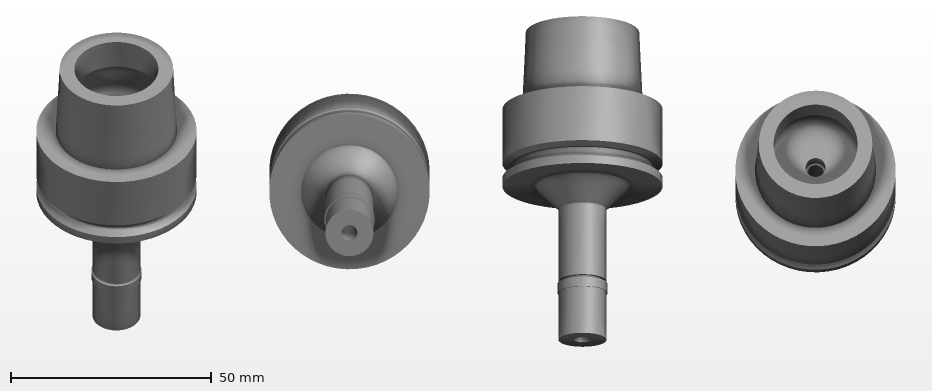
import cadquery as cq
import math

total_height = 80.0
taper_length = 20.0
flange_thickness = 20.0
flange_top = total_height - taper_length
flange_bottom = flange_top - flange_thickness

taper_top_radius = 14.2
taper_base_radius = 15.1

flange_radius = 20.0
groove_radius = 17.5
flange_rim_height = 2.1
groove_flank_inner_radius = 18.3
groove_flank_angle = 30.0
groove_floor_height = 1.9

nose_height = 6.0

bore_radius = 10.5
bore_mouth_depth = 8.0
chamber_radius = 12.7
chamber_floor_depth = 17.8
chamber_fillet = 2.0

stem_radius = 6.0
stem_bore_radius = 2.0
counterbore_radius = 2.5
counterbore_depth = 4.0
stem_groove_radius = 5.3
stem_groove_height = 3.1

ring_radius = 6.2
ring_height = 2.4
ring_bottom = 12.2

chamber_floor = total_height - chamber_floor_depth


def revolve_profile(points):
    """Turn a closed (radius, height) profile about the Z axis."""
    return cq.Workplane("XZ").polyline(points).close().revolve(360, (0, 0, 0), (0, 1, 0))


def disc(radius, bottom, top):
    """Solid cylinder on the Z axis between two heights."""
    return cq.Workplane("XY").workplane(offset=bottom).circle(radius).extrude(top - bottom)


def tube(outer_radius, inner_radius, bottom, top):
    """Hollow cylinder on the Z axis between two heights."""
    return disc(outer_radius, bottom, top).cut(disc(inner_radius, bottom, top))


def make_holder():
    flank_width = flange_radius - groove_flank_inner_radius
    flank_height = flank_width * math.tan(math.radians(groove_flank_angle))
    lower_flank_bottom = flange_bottom + flange_rim_height
    groove_floor_bottom = lower_flank_bottom + flank_height
    groove_floor_top = groove_floor_bottom + groove_floor_height
    upper_flank_top = groove_floor_top + flank_height
    bore_mouth_bottom = total_height - bore_mouth_depth
    holder = revolve_profile([
        (stem_radius, flange_bottom - nose_height),
        (stem_radius + nose_height, flange_bottom),
        (flange_radius, flange_bottom),
        (flange_radius, lower_flank_bottom),
        (groove_flank_inner_radius, groove_floor_bottom),
        (groove_radius, groove_floor_bottom),
        (groove_radius, groove_floor_top),
        (groove_flank_inner_radius, groove_floor_top),
        (flange_radius, upper_flank_top),
        (flange_radius, flange_top),
        (taper_base_radius, flange_top),
        (taper_top_radius, total_height),
        (bore_radius, total_height),
        (bore_radius, bore_mouth_bottom),
        (chamber_radius, bore_mouth_bottom),
        (chamber_radius, chamber_floor),
        (stem_radius, chamber_floor),
    ])
    floor_face = cq.selectors.NearestToPointSelector((0, 0, chamber_floor))
    outer_edge = cq.selectors.RadiusNthSelector(-1)
    return holder.faces(floor_face).edges(outer_edge).fillet(chamber_fillet)


def make_stem():
    stem = disc(stem_radius, 0, chamber_floor)
    groove_top = ring_bottom + stem_groove_height
    groove = tube(stem_radius, stem_groove_radius, ring_bottom, groove_top)
    bore = disc(stem_bore_radius, 0, chamber_floor)
    counterbore = disc(counterbore_radius, chamber_floor - counterbore_depth, chamber_floor)
    return stem.cut(groove).cut(bore).cut(counterbore)


def make_ring():
    return tube(ring_radius, stem_groove_radius, ring_bottom, ring_bottom + ring_height)


holder = make_holder()
stem = make_stem()
ring = make_ring()

result = cq.Compound.makeCompound([holder.val(), stem.val(), ring.val()])